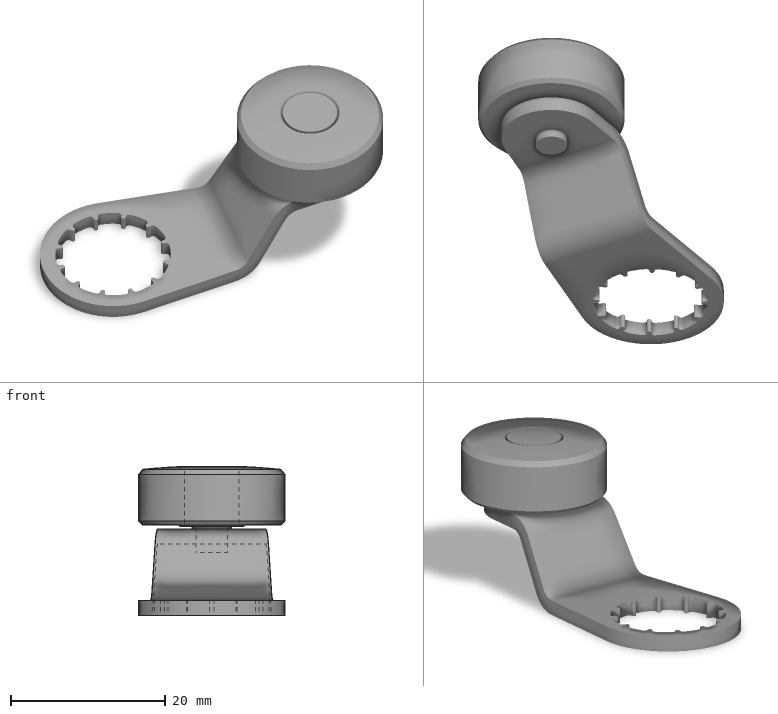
import cadquery as cq
import math


overall_length = 46.0
overall_height = 19.35
ring_radius = 9.495
roller_radius = ring_radius
axle_y = overall_length - ring_radius - roller_radius

plate = 2.0
arm_top_z = 11.25
end_radius = 6.5
bend_angle = math.radians(60)
bend_inner_radius = 2.0
bend_outer_radius = bend_inner_radius + plate
lower_bend_y = 14.1

bore_radius = 7.5
tooth_count = 12
tooth_tip_radius = 6.6
tooth_width = 0.6
tooth_root_fillet = 0.45

roller_bottom_z = 11.75
crown_rise = 0.35
top_chamfer_width = 0.55
top_chamfer_height = 0.7
bottom_chamfer = 0.5
countersink_radius = 3.9
countersink_depth = 0.4

journal_radius = 3.55
flange_radius = 4.3
flange_thickness = 0.25
shoulder_radius = 2.57
stem_radius = 2.02
stem_bottom_z = 8.2


def disc(radius, bottom, top, y=0.0):
    """Vertical cylinder between two heights."""
    return cq.Workplane("XY", origin=(0, y, bottom)).circle(radius).extrude(top - bottom)


def arm_outline():
    """Plan shape of the arm: two round ends joined by their common tangents."""
    lean = (ring_radius - end_radius) / axle_y
    across = math.sqrt(1 - lean**2)
    ring_x = ring_radius * across
    ring_y = ring_radius * lean
    end_x = end_radius * across
    end_y = axle_y + end_radius * lean
    return (
        cq.Workplane("XY")
        .moveTo(ring_x, ring_y)
        .lineTo(end_x, end_y)
        .threePointArc((0, axle_y + end_radius), (-end_x, end_y))
        .lineTo(-ring_x, ring_y)
        .threePointArc((0, -ring_radius), (ring_x, ring_y))
        .close()
        .extrude(arm_top_z)
    )


def arm_side_profile():
    """Side shape of the arm: a strip with two opposite bends, as wide as the ring."""
    sin_bend = math.sin(bend_angle)
    cos_bend = math.cos(bend_angle)
    radius_sum = bend_inner_radius + bend_outer_radius

    lower_centre_z = plate + bend_inner_radius
    upper_centre_z = arm_top_z - bend_outer_radius
    slope_length = (upper_centre_z - lower_centre_z + radius_sum * cos_bend) / sin_bend
    upper_bend_y = lower_bend_y + radius_sum * sin_bend + slope_length * cos_bend

    def lower_bend(radius, angle):
        return (lower_bend_y + radius * math.sin(angle), lower_centre_z - radius * math.cos(angle))

    def upper_bend(radius, angle):
        return (upper_bend_y - radius * math.sin(angle), upper_centre_z + radius * math.cos(angle))

    half_angle = bend_angle / 2
    inner = bend_inner_radius
    outer = bend_outer_radius
    far_y = axle_y + end_radius
    return (
        cq.Workplane("YZ")
        .moveTo(-ring_radius, plate)
        .lineTo(*lower_bend(inner, 0))
        .threePointArc(lower_bend(inner, half_angle), lower_bend(inner, bend_angle))
        .lineTo(*upper_bend(outer, bend_angle))
        .threePointArc(upper_bend(outer, half_angle), upper_bend(outer, 0))
        .lineTo(far_y, arm_top_z)
        .lineTo(far_y, arm_top_z - plate)
        .lineTo(*upper_bend(inner, 0))
        .threePointArc(upper_bend(inner, half_angle), upper_bend(inner, bend_angle))
        .lineTo(*lower_bend(outer, bend_angle))
        .threePointArc(lower_bend(outer, half_angle), lower_bend(outer, 0))
        .lineTo(-ring_radius, 0)
        .close()
        .extrude(ring_radius, both=True)
    )


def is_at_bore_wall(edge):
    """True for a vertical edge that lies on the wall of the toothed hole."""
    tolerance = 0.005
    centre = edge.Center()
    return abs(math.hypot(centre.x, centre.y) - bore_radius) < tolerance


def toothed_hole():
    """Material removed from the ring: a disc notched where the round-tipped teeth remain."""
    hole = disc(bore_radius, 0, plate)
    tip_centre = tooth_tip_radius + tooth_width / 2
    tooth_length = ring_radius - tip_centre
    tooth = (
        disc(tooth_width / 2, 0, plate)
        .union(cq.Workplane("XY").box(tooth_length, tooth_width, plate, centered=(False, True, False)))
        .translate((tip_centre, 0, 0))
    )
    for index in range(tooth_count):
        hole = hole.cut(tooth.rotate((0, 0, 0), (0, 0, 1), index * 360 / tooth_count))

    root_edges = [edge for edge in hole.edges("|Z").vals() if is_at_bore_wall(edge)]
    return hole.newObject(root_edges).fillet(tooth_root_fillet)


def make_arm():
    """Cranked arm with a toothed ring at the low end and a pin hole at the high end."""
    arm = arm_side_profile().intersect(arm_outline())
    arm = arm.cut(toothed_hole())
    return arm.cut(disc(stem_radius, 0, arm_top_z, axle_y))


def make_roller():
    """Roller with a crowned top, flat underside, chamfered rims and a bore countersunk at the top."""
    rim_radius = roller_radius - top_chamfer_width
    rim_top_z = overall_height - crown_rise

    mid_radius = (rim_radius + countersink_radius) / 2
    mid_fraction = (mid_radius**2 - countersink_radius**2) / (rim_radius**2 - countersink_radius**2)
    mid_z = overall_height - crown_rise * mid_fraction
    return (
        cq.Workplane("XZ", origin=(0, axle_y, 0))
        .moveTo(journal_radius, roller_bottom_z)
        .lineTo(roller_radius - bottom_chamfer, roller_bottom_z)
        .lineTo(roller_radius, roller_bottom_z + bottom_chamfer)
        .lineTo(roller_radius, rim_top_z - top_chamfer_height)
        .lineTo(rim_radius, rim_top_z)
        .threePointArc((mid_radius, mid_z), (countersink_radius, overall_height))
        .lineTo(journal_radius, overall_height - countersink_depth)
        .close()
        .revolve(360, (0, 0, 0), (0, 1, 0))
    )


def make_pin():
    """Stepped pin: journal in the roller, tapered flange under it, shoulder and stem at the arm."""
    flange_bottom_z = roller_bottom_z - flange_thickness
    return (
        cq.Workplane("XZ", origin=(0, axle_y, 0))
        .moveTo(0, stem_bottom_z)
        .lineTo(stem_radius, stem_bottom_z)
        .lineTo(stem_radius, arm_top_z)
        .lineTo(shoulder_radius, arm_top_z)
        .lineTo(shoulder_radius, flange_bottom_z)
        .lineTo(flange_radius - flange_thickness, flange_bottom_z)
        .lineTo(flange_radius, roller_bottom_z)
        .lineTo(journal_radius, roller_bottom_z)
        .lineTo(journal_radius, overall_height)
        .lineTo(0, overall_height)
        .close()
        .revolve(360, (0, 0, 0), (0, 1, 0))
    )


arm = make_arm()
roller = make_roller()
pin = make_pin()

result = cq.Compound.makeCompound([arm.val(), roller.val(), pin.val()])